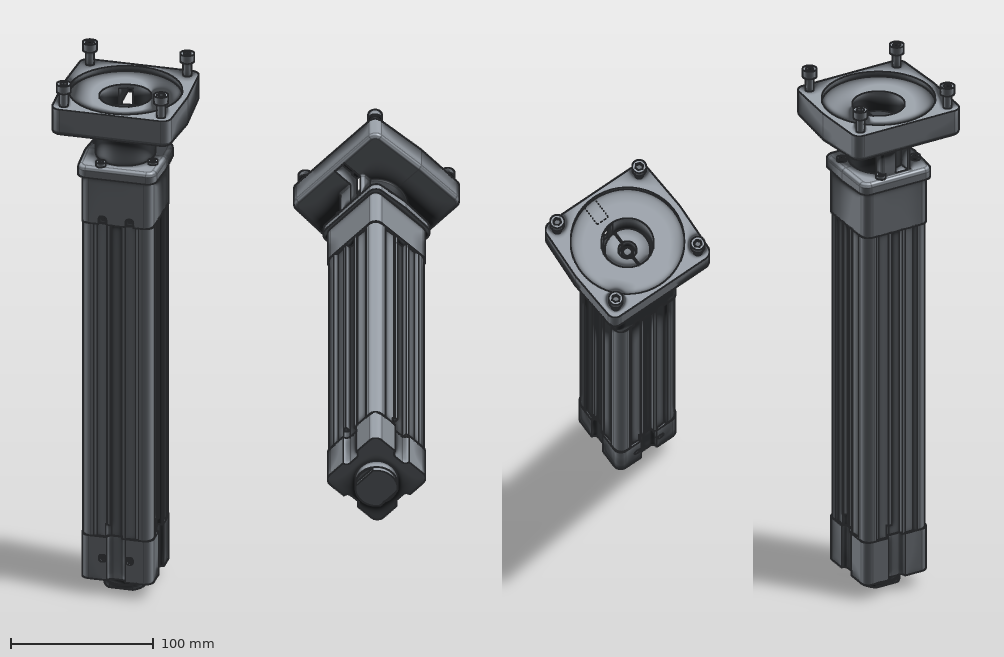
import cadquery as cq
import math

DRAFT = math.tan(math.radians(3.0))
QUARTER_TURNS = [0, 90, 180, 270]
RIDGED_FACE_NORMAL = 0.9
RIDGE_TOLERANCE = 1e-6

ROD_STICK_OUT = 12.0
FOOT_LENGTH = 33.4
TUBE_LENGTH = 242.4
HEAD_LENGTH = 36.0
FOOT_BOTTOM = ROD_STICK_OUT
FOOT_TOP = FOOT_BOTTOM + FOOT_LENGTH
TUBE_TOP = FOOT_TOP + TUBE_LENGTH
HEAD_TOP = TUBE_TOP + HEAD_LENGTH
OVERALL_HEIGHT = 398.26

ROD_DIAMETER = 30.0
ROD_TIP_DIAMETER = 29.6
ROD_TIP_LENGTH = 4.6
ROD_FLAT_WIDTH = 24.0
ROD_FLAT_LENGTH = 3.6

BLOCK_SIZE = 52.0
BLOCK_CORNER_RADIUS = 6.0
BLOCK_SCREW_X = 9.8
FOOT_SCREW_Z = FOOT_BOTTOM + 0.5 * FOOT_LENGTH
FOOT_GROOVE_HALF_WIDTH = 6.7
FOOT_GROOVE_DEPTH = 3.5
FOOT_GROOVE_RADIUS = 3.5
FOOT_HOLE_DIAMETER = 5.61
HEAD_NOTCH_DIAMETER = 6.0
HEAD_NOTCH_RISE = 3.4
SCREW_POCKET_DEPTH = 3.0
SCREW_SOCKET_DIAMETER = 2.92
SCREW_SOCKET_DEPTH = 2.0

TUBE_SIZE = 51.4
TUBE_CORNER_RADIUS = 7.1
SLOT_HALF_WIDTH = 4.2
SLOT_DEPTH = 4.0
SLOT_CLEARANCE = 1.0
SLOT_LIP_HALF_WIDTH = 6.6
PANEL_INNER_DEPTH = 1.1
PANEL_OUTER_DEPTH = 1.7
PANEL_HALF_WIDTH = 13.9
PANEL_RIM_HALF_WIDTH = 16.3
SENSOR_ENTRY_HALF_WIDTH = 7.9
SENSOR_ENTRY_LENGTH = 9.6

PLATE_WIDTH = 56.3
PLATE_EDGE_THICKNESS = 8.4
PLATE_ROUNDING = 3.0
FLANGE_WIDTH = 85.72
FLANGE_EDGE_THICKNESS = 20.2
FLANGE_ROUNDING = 3.0
KIT_CORNER_RADIUS = 6.5
MOTOR_SCREW_STICK_OUT = 16.8
FLANGE_TOP = OVERALL_HEIGHT - MOTOR_SCREW_STICK_OUT
FLANGE_BOTTOM = FLANGE_TOP - FLANGE_EDGE_THICKNESS
NECK_DIAMETER = 42.2
NECK_FILLET = 1.2
BORE_DIAMETER = 37.0
BORE_FLOOR = HEAD_TOP + 4.0
REGISTER_DIAMETER = 80.0
REGISTER_DEPTH = 4.2
REGISTER_FLOOR = FLANGE_TOP - REGISTER_DEPTH

PAD_HALF_WIDTH = 11.9
PAD_REACH = 24.8
PAD_ROUNDING = 2.0
WINDOW_MIN_X = -9.2
WINDOW_MAX_X = 0.4
WINDOW_BOTTOM = BORE_FLOOR + 6.0
WINDOW_TOP = REGISTER_FLOOR - 3.0
CLEARANCE_BOTTOM = FLANGE_BOTTOM - 5.0
CLEARANCE_TOP = REGISTER_FLOOR - 0.8
CLEARANCE_START_Y = 23.6

COUPLING_DIAMETER = 31.6
COUPLING_TOP = 363.0
COUPLING_BORE_DIAMETER = 13.0
COUPLING_BORE_DEPTH = 12.0
COUPLING_SLIT = 1.2
SHAFT_DIAMETER = 8.4
SHAFT_LENGTH = 8.0
SHAFT_CHAMFER = 1.2
SHAFT_FLAT_OFFSET = 2.7
SHAFT_FLAT_LENGTH = 5.0

MOTOR_SCREW_CIRCLE = 100.0
MOTOR_SCREW_DIAMETER = 6.0
MOTOR_SCREW_HEAD_DIAMETER = 10.0
MOTOR_SCREW_HEAD_HEIGHT = 6.0
MOTOR_SCREW_HEX = 5.0
MOTOR_SCREW_HEX_DEPTH = 3.0
PLATE_SCREW_X = -11.6
PLATE_SCREW_Y = -23.1
PLATE_SCREW_HEAD_DIAMETER = 7.0
PLATE_SCREW_HEAD_TOP = 335.0
PLATE_SCREW_HEX = 3.0
PLATE_SCREW_HEX_DEPTH = 2.0


def cylinder(diameter, bottom, top, x=0.0, y=0.0):
    return cq.Workplane("XY", (x, y, bottom)).circle(diameter / 2).extrude(top - bottom)


def rounded_block(size, corner_radius, bottom, top):
    block = cq.Workplane("XY", (0, 0, bottom)).rect(size, size).extrude(top - bottom)
    return block.edges("|Z").fillet(corner_radius)


def turned(shape, angle):
    return shape.rotate((0, 0, 0), (0, 0, 1), angle)


def hexagon_recess(across_flats, depth, top, x, y):
    across_corners = across_flats / math.cos(math.radians(30))
    sketch = cq.Workplane("XY", (x, y, top - depth)).polygon(6, across_corners)
    return sketch.extrude(depth)


def make_piston_rod():
    tip = cylinder(ROD_TIP_DIAMETER, 0, ROD_TIP_LENGTH)
    rod = cylinder(ROD_DIAMETER, ROD_TIP_LENGTH, FOOT_TOP).union(tip)
    wrench_blank = cq.Workplane("XY").rect(2 * ROD_DIAMETER, ROD_FLAT_WIDTH).extrude(ROD_FLAT_LENGTH)
    flats = cylinder(2 * ROD_DIAMETER, 0, ROD_FLAT_LENGTH).cut(wrench_blank)
    return rod.cut(flats)


def make_foot_groove():
    """Round-cornered groove along the -Y face of the foot."""
    face_y = -BLOCK_SIZE / 2
    groove = cq.Workplane("XY", (0, face_y, FOOT_BOTTOM))
    groove = groove.rect(2 * FOOT_GROOVE_HALF_WIDTH, 2 * FOOT_GROOVE_DEPTH).extrude(FOOT_LENGTH)
    return groove.edges("|Z and >Y").fillet(FOOT_GROOVE_RADIUS)


def make_screw_pocket(diameter, x, z):
    """Round pocket with a smaller socket at its floor, sunk into the -Y face of a block."""
    face = cq.Workplane("XZ", (x, -BLOCK_SIZE / 2, z))
    pocket = face.circle(diameter / 2).extrude(-SCREW_POCKET_DEPTH)
    socket = face.circle(SCREW_SOCKET_DIAMETER / 2).extrude(-(SCREW_POCKET_DEPTH + SCREW_SOCKET_DEPTH))
    return pocket.union(socket)


def make_foot():
    foot = rounded_block(BLOCK_SIZE, BLOCK_CORNER_RADIUS, FOOT_BOTTOM, FOOT_TOP)
    groove = make_foot_groove()
    for angle in QUARTER_TURNS:
        foot = foot.cut(turned(groove, angle))
    for x in (-BLOCK_SCREW_X, BLOCK_SCREW_X):
        foot = foot.cut(make_screw_pocket(FOOT_HOLE_DIAMETER, x, FOOT_SCREW_Z))
    return foot.cut(cylinder(ROD_DIAMETER, FOOT_BOTTOM, FOOT_TOP))


def make_tube_groove():
    """Slot of the -Y face of the tube, with a recessed panel on each side of its lips."""
    face_y = -TUBE_SIZE / 2
    slot_outline = [
        (-SLOT_HALF_WIDTH, face_y - SLOT_CLEARANCE),
        (-SLOT_HALF_WIDTH, face_y + SLOT_DEPTH),
        (SLOT_HALF_WIDTH, face_y + SLOT_DEPTH),
        (SLOT_HALF_WIDTH, face_y - SLOT_CLEARANCE),
    ]
    panel_outline = [
        (SLOT_LIP_HALF_WIDTH, face_y),
        (SLOT_LIP_HALF_WIDTH, face_y + PANEL_INNER_DEPTH),
        (PANEL_HALF_WIDTH, face_y + PANEL_OUTER_DEPTH),
        (PANEL_RIM_HALF_WIDTH, face_y),
    ]
    base = cq.Workplane("XY", (0, 0, FOOT_TOP))
    slot = base.polyline(slot_outline).close().extrude(TUBE_LENGTH)
    panel = base.polyline(panel_outline).close().extrude(TUBE_LENGTH)
    return slot.union(panel).union(panel.mirror("YZ"))


def make_sensor_entry():
    """Round-cornered widening on one side of a slot, at the lower end of the tube."""
    face_y = -TUBE_SIZE / 2
    floor_y = face_y + SLOT_DEPTH
    entry = cq.Workplane("XY", (0, 0, FOOT_TOP))
    entry = entry.moveTo(0, floor_y).lineTo(SLOT_DEPTH - SENSOR_ENTRY_HALF_WIDTH, floor_y)
    entry = entry.radiusArc((-SENSOR_ENTRY_HALF_WIDTH, face_y), -SLOT_DEPTH)
    return entry.lineTo(0, face_y).close().extrude(SENSOR_ENTRY_LENGTH)


def make_tube():
    tube = rounded_block(TUBE_SIZE, TUBE_CORNER_RADIUS, FOOT_TOP, TUBE_TOP)
    groove = make_tube_groove().union(make_sensor_entry())
    for angle in QUARTER_TURNS:
        tube = tube.cut(turned(groove, angle))
    return tube


def make_head():
    """Head block with two round-topped screw notches open at its lower edge."""
    head = rounded_block(BLOCK_SIZE, BLOCK_CORNER_RADIUS, TUBE_TOP, HEAD_TOP)
    notch_z = TUBE_TOP + HEAD_NOTCH_RISE
    for x in (-BLOCK_SCREW_X, BLOCK_SCREW_X):
        opening = cq.Workplane("XZ", (x, -BLOCK_SIZE / 2, notch_z - HEAD_NOTCH_RISE / 2))
        opening = opening.rect(HEAD_NOTCH_DIAMETER, HEAD_NOTCH_RISE).extrude(-SCREW_POCKET_DEPTH)
        head = head.cut(opening).cut(make_screw_pocket(HEAD_NOTCH_DIAMETER, x, notch_z))
    return head


def make_housing():
    return make_tube().union(make_foot()).union(make_head())


def drafted_slab(width, bottom, top, bottom_ridge, top_ridge):
    """Square slab whose X sides, and the ends given a ridge of 1, draft outward to the plane y = 0."""
    half = width / 2
    draft = half * DRAFT
    side = half + draft
    outline = [(half, -half), (side, 0), (half, half), (-half, half), (-side, 0), (-half, -half)]
    slab = cq.Workplane("XY", (0, 0, bottom - draft)).polyline(outline).close()
    slab = slab.extrude(top - bottom + 2 * draft)
    slab = slab.edges("|Z and (<Y or >Y)").fillet(KIT_CORNER_RADIUS)
    section = [(-half, bottom), (0, bottom - bottom_ridge * draft), (half, bottom)]
    section += [(half, top), (0, top + top_ridge * draft), (-half, top)]
    envelope = cq.Workplane("YZ").polyline(section).close().extrude(side, both=True)
    return slab.intersect(envelope)


def on_ridge(edge):
    return edge.geomType() == "LINE" and abs(edge.Center().y) < RIDGE_TOLERANCE


def round_ridged_face(slab, direction, radius):
    """Round the rim of the two-part ridged face whose normal points along direction * Z."""
    rim = []
    for face in slab.faces().vals():
        if face.normalAt().z * direction > RIDGED_FACE_NORMAL:
            rim += [edge for edge in face.Edges() if not on_ridge(edge)]
    return cq.Workplane(slab.val().fillet(radius, rim))


def make_plate():
    plate = drafted_slab(PLATE_WIDTH, HEAD_TOP, HEAD_TOP + PLATE_EDGE_THICKNESS, 0, 1)
    return round_ridged_face(plate, 1, PLATE_ROUNDING)


def make_flange():
    flange = drafted_slab(FLANGE_WIDTH, FLANGE_BOTTOM, FLANGE_TOP, 1, 0)
    flange = round_ridged_face(flange, -1, FLANGE_ROUNDING)
    return flange.cut(cylinder(REGISTER_DIAMETER, REGISTER_FLOOR, FLANGE_TOP))


def make_neck():
    """Round neck with a flat pad on its +Y side around the access window."""
    pad = cq.Workplane("XY", (0, PAD_REACH / 2, HEAD_TOP)).rect(2 * PAD_HALF_WIDTH, PAD_REACH)
    pad = pad.extrude(REGISTER_FLOOR - HEAD_TOP)
    pad = pad.edges("|Z and >Y").fillet(PAD_ROUNDING)
    return cylinder(NECK_DIAMETER, HEAD_TOP, REGISTER_FLOOR).union(pad)


def round_neck_ends(body):
    """Fillet the edges where the neck and its pad meet the plate and the flange."""
    plate_edge = HEAD_TOP + PLATE_EDGE_THICKNESS
    plate_ridge = plate_edge + PLATE_WIDTH / 2 * DRAFT
    flange_ridge = FLANGE_BOTTOM - FLANGE_WIDTH / 2 * DRAFT
    reach = PAD_REACH + RIDGE_TOLERANCE
    for low, high in ((plate_edge, plate_ridge), (flange_ridge, FLANGE_BOTTOM)):
        zone = cq.selectors.BoxSelector((-reach, -reach, low), (reach, reach, high), boundingbox=True)
        body = body.edges(zone).fillet(NECK_FILLET)
    return body


def make_access_window():
    """Opening through the pad, and the clearance outside it below the register floor."""
    width = WINDOW_MAX_X - WINDOW_MIN_X
    middle_x = (WINDOW_MIN_X + WINDOW_MAX_X) / 2
    reach = REGISTER_DIAMETER / 2 - CLEARANCE_START_Y
    clearance = cq.Workplane("XY", (middle_x, CLEARANCE_START_Y + reach / 2, CLEARANCE_BOTTOM))
    clearance = clearance.rect(width, reach).extrude(CLEARANCE_TOP - CLEARANCE_BOTTOM)
    window = cq.Workplane("XY", (middle_x, PAD_REACH / 2, WINDOW_BOTTOM))
    window = window.rect(width, PAD_REACH).extrude(WINDOW_TOP - WINDOW_BOTTOM)
    return clearance.union(window)


def make_coupling():
    """Slit clamp coupling standing on the bore floor, with the flatted shaft end inside it."""
    bore_floor = COUPLING_TOP - COUPLING_BORE_DEPTH
    coupling = cylinder(COUPLING_DIAMETER, BORE_FLOOR, COUPLING_TOP)
    coupling = coupling.cut(cylinder(COUPLING_BORE_DIAMETER, bore_floor, COUPLING_TOP))
    slit = cq.Workplane("XY", (0, 0, bore_floor)).rect(COUPLING_SLIT, COUPLING_DIAMETER)
    coupling = coupling.cut(slit.extrude(COUPLING_BORE_DEPTH))
    shaft_top = bore_floor + SHAFT_LENGTH
    shaft = cylinder(SHAFT_DIAMETER, bore_floor, shaft_top)
    shaft = shaft.faces(">Z").chamfer(SHAFT_CHAMFER)
    flat_y = -SHAFT_FLAT_OFFSET - SHAFT_DIAMETER / 2
    flat = cq.Workplane("XY", (0, flat_y, shaft_top - SHAFT_FLAT_LENGTH))
    flat = flat.rect(2 * SHAFT_DIAMETER, SHAFT_DIAMETER).extrude(SHAFT_FLAT_LENGTH)
    return coupling.union(shaft.cut(flat))


def add_plate_screws(kit):
    """Add the four cap screw heads that hold the base plate, partly sunk into it."""
    head_bottom = HEAD_TOP + PLATE_EDGE_THICKNESS - PLATE_ROUNDING
    place = (PLATE_SCREW_X, PLATE_SCREW_Y)
    head = cylinder(PLATE_SCREW_HEAD_DIAMETER, head_bottom, PLATE_SCREW_HEAD_TOP, *place)
    hexagon = hexagon_recess(PLATE_SCREW_HEX, PLATE_SCREW_HEX_DEPTH, PLATE_SCREW_HEAD_TOP, *place)
    for angle in QUARTER_TURNS:
        kit = kit.union(turned(head, angle)).cut(turned(hexagon, angle))
    return kit


def make_motor_screw():
    """Cap screw standing in the flange, where its bolt circle crosses the +X axis."""
    x = MOTOR_SCREW_CIRCLE / 2
    head_bottom = OVERALL_HEIGHT - MOTOR_SCREW_HEAD_HEIGHT
    shank = cylinder(MOTOR_SCREW_DIAMETER, FLANGE_BOTTOM + FLANGE_ROUNDING, head_bottom, x)
    head = cylinder(MOTOR_SCREW_HEAD_DIAMETER, head_bottom, OVERALL_HEIGHT, x)
    hexagon = hexagon_recess(MOTOR_SCREW_HEX, MOTOR_SCREW_HEX_DEPTH, OVERALL_HEIGHT, x, 0)
    return shank.union(head).cut(hexagon)


def make_kit():
    kit = make_plate().union(make_flange()).union(make_neck())
    kit = add_plate_screws(round_neck_ends(kit))
    kit = kit.cut(cylinder(BORE_DIAMETER, BORE_FLOOR, REGISTER_FLOOR))
    kit = kit.cut(make_access_window()).union(make_coupling())
    screw = make_motor_screw()
    for angle in QUARTER_TURNS:
        kit = kit.union(turned(screw, 45 + angle))
    return kit


rod = make_piston_rod()
housing = make_housing()
kit = make_kit()
result = cq.Compound.makeCompound([rod.val(), housing.val(), kit.val()])